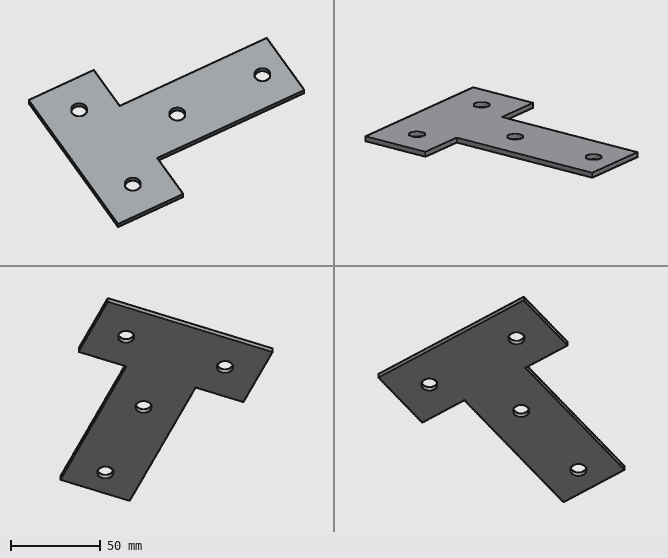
import cadquery as cq

length = 137.0
bar_length = 100.0
strip_width = 42.0
thickness = 3.0

hole_diameter = 9.0
bar_hole_spacing = 60.0
stem_hole_spacing = 55.0
end_hole_inset = 15.0

crossbar = cq.Workplane("XY").box(
    bar_length, strip_width, thickness, centered=(True, False, False)
)

stem = cq.Workplane("XY").box(
    strip_width, length, thickness, centered=(True, False, False)
)

end_hole_y = length - end_hole_inset
hole_centers = [
    (-bar_hole_spacing / 2, strip_width / 2),
    (bar_hole_spacing / 2, strip_width / 2),
    (0, end_hole_y - stem_hole_spacing),
    (0, end_hole_y),
]
holes = (
    cq.Workplane("XY")
    .pushPoints(hole_centers)
    .circle(hole_diameter / 2)
    .extrude(thickness)
)

result = crossbar.union(stem).cut(holes)